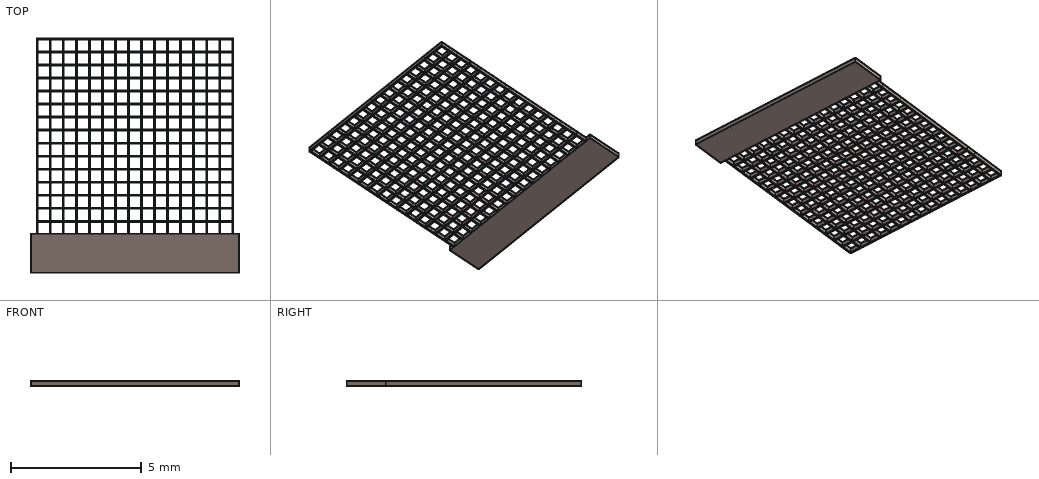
import cadquery as cq

total_length = 9.0
thickness = 0.2
bar_width = 0.05
cell_count = 15
plate_rows = 3
plate_columns = cell_count + 1

cell_pitch = total_length / (cell_count + plate_rows)
plate_length = plate_rows * cell_pitch
plate_width = plate_columns * cell_pitch
grid_length = cell_count * cell_pitch
grid_width = grid_length + bar_width


def block(width, length, start_y):
    """Full-thickness block centred on X = 0, running from start_y towards +Y."""
    return (
        cq.Workplane("XY")
        .box(width, length, thickness, centered=(True, False, False))
        .translate((0, start_y, 0))
    )


def make_grid():
    """Square grid made of a sheet with one through opening per cell."""
    opening = cell_pitch - bar_width
    first_opening_y = plate_length + opening / 2
    openings = [
        (
            (column - (cell_count - 1) / 2) * cell_pitch,
            first_opening_y + row * cell_pitch,
        )
        for column in range(cell_count)
        for row in range(cell_count)
    ]
    cutters = (
        cq.Workplane("XY")
        .pushPoints(openings)
        .rect(opening, opening)
        .extrude(thickness)
    )
    return block(grid_width, grid_length, plate_length).cut(cutters)


plate = block(plate_width, plate_length, 0)
result = plate.union(make_grid())